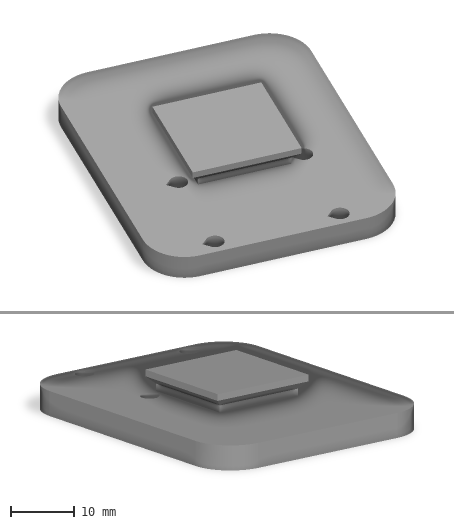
import cadquery as cq
import math

plate_length = 51.0
plate_width = 42.0
plate_thickness = 4.1
corner_radius = 7.0

total_height = 7.6
neck_length = 16.1
neck_width = 15.7
neck_height = 1.2
flare_height = 1.2
head_size = 18.3
head_thickness = total_height - plate_thickness - neck_height - flare_height

hole_radius = 1.5
hole_spacing_x = 16.5
hole_spacing_y = 21.0
hole_inner_x = 6.4
hole_x_positions = [hole_inner_x, hole_inner_x + hole_spacing_x]
hole_y_positions = [-hole_spacing_y / 2, hole_spacing_y / 2]


def make_plate():
    plate = cq.Workplane("XY").box(
        plate_length, plate_width, plate_thickness, centered=(True, True, False)
    )
    return plate.edges("|Z").fillet(corner_radius)


def make_head():
    neck_top = plate_thickness + neck_height
    flare_top = neck_top + flare_height
    neck = (
        cq.Workplane("XY")
        .workplane(offset=plate_thickness)
        .rect(neck_length, neck_width)
        .extrude(neck_height)
    )
    flare = (
        cq.Workplane("XY")
        .workplane(offset=neck_top)
        .rect(neck_length, neck_width)
        .workplane(offset=flare_height)
        .rect(head_size, head_size)
        .loft(ruled=True)
    )
    slab = (
        cq.Workplane("XY")
        .workplane(offset=flare_top)
        .rect(head_size, head_size)
        .extrude(head_thickness)
    )
    return neck.union(flare).union(slab)


def make_teardrop(x, y):
    tangent_offset = hole_radius * math.sin(math.radians(45))
    tip_distance = hole_radius * math.sqrt(2)
    return (
        cq.Workplane("XY")
        .center(x, y)
        .moveTo(-tangent_offset, -tangent_offset)
        .threePointArc((0, hole_radius), (tangent_offset, -tangent_offset))
        .lineTo(0, -tip_distance)
        .close()
        .extrude(plate_thickness)
    )


plate = make_plate()
for hole_x in hole_x_positions:
    for hole_y in hole_y_positions:
        plate = plate.cut(make_teardrop(hole_x, hole_y))

result = plate.union(make_head())